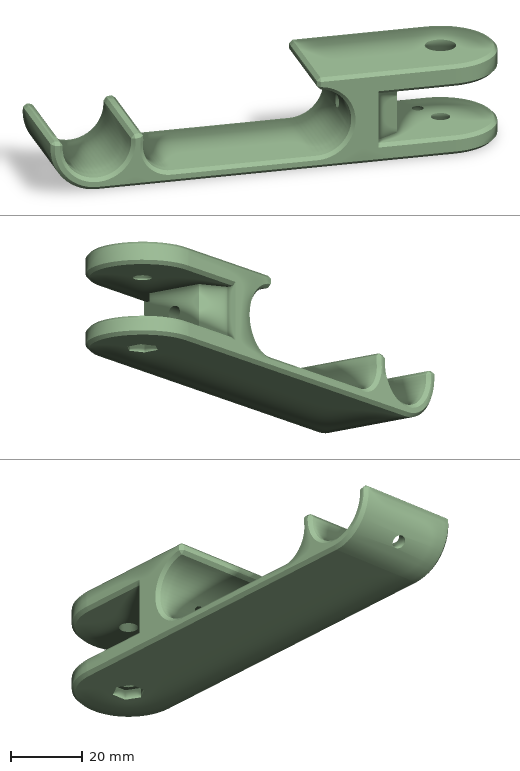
import cadquery as cq
import math

WIDTH = 32.0
HALF_WIDTH = WIDTH / 2
HEIGHT = 27.0
CHAMFER = 1.0

LOWER_ARM = 5.5
SLOT_HEIGHT = 15.0
SLOT_TOP = LOWER_ARM + SLOT_HEIGHT
SLOT_END_Y = -22.3
STOP_FRONT_Y = -15.0
STOP_FLANK_ANGLE = 32.0
STOP_FRONT_HALF_WIDTH = 8.6

BOLT_D = 5.4
BOLT_HEAD_D = 8.8
BOLT_HEAD_DEPTH = 4.0
NUT_ACROSS_FLATS = 8.0
NUT_DEPTH = 3.0

DIMPLE_BALL_D = 4.0
DIMPLE_BALL_DEPTH = 1.1
DIMPLE_PIVOT_RADIUS = 9.0
DIMPLE_ANGLE = 210.0

WALL = 3.5
CRADLE_R = 10.0
HOOK_R = CRADLE_R + WALL
CRADLE_Z = WALL + CRADLE_R
REAR_CRADLE_Y = -40.0
HOOK_Y = -104.0
LIP_ANGLE = 10.0
POST_FILLET_R = 8.0
SMALL_HOLE_D = 4.0
HOOK_HOLE_ANGLE = 45.0

CUT_MARGIN = 1.0
TOLERANCE = 0.01


def hook_point(radius, degrees):
    """YZ point about the hook axis; 0 degrees is +Y and 90 degrees is +Z."""
    angle = math.radians(degrees)
    return (HOOK_Y + radius * math.cos(angle), CRADLE_Z + radius * math.sin(angle))


def side_profile():
    """Outline in the YZ plane, with the fork slot square-ended."""
    fillet_z = WALL + POST_FILLET_R
    centre_distance = HOOK_R + POST_FILLET_R
    drop = CRADLE_Z - fillet_z
    fillet_y = HOOK_Y + math.sqrt(centre_distance**2 - drop**2)
    tangent_angle = -math.degrees(math.asin(drop / centre_distance))
    diagonal = POST_FILLET_R * math.sqrt(0.5)
    return (
        cq.Workplane("YZ")
        .moveTo(HALF_WIDTH, 0)
        .lineTo(HOOK_Y, 0)
        .threePointArc(hook_point(HOOK_R, 225), hook_point(HOOK_R, 180 - LIP_ANGLE))
        .lineTo(*hook_point(CRADLE_R, 180 - LIP_ANGLE))
        .threePointArc(hook_point(CRADLE_R, 270), hook_point(CRADLE_R, LIP_ANGLE))
        .lineTo(*hook_point(HOOK_R, LIP_ANGLE))
        .threePointArc(hook_point(HOOK_R, 0), hook_point(HOOK_R, tangent_angle))
        .threePointArc(
            (fillet_y - diagonal, fillet_z - diagonal),
            (fillet_y, WALL),
        )
        .lineTo(REAR_CRADLE_Y, WALL)
        .threePointArc(
            (REAR_CRADLE_Y + CRADLE_R, CRADLE_Z),
            (REAR_CRADLE_Y, CRADLE_Z + CRADLE_R),
        )
        .lineTo(REAR_CRADLE_Y, HEIGHT)
        .lineTo(HALF_WIDTH, HEIGHT)
        .lineTo(HALF_WIDTH, SLOT_TOP)
        .lineTo(SLOT_END_Y, SLOT_TOP)
        .lineTo(SLOT_END_Y, LOWER_ARM)
        .lineTo(HALF_WIDTH, LOWER_ARM)
        .close()
    )


def plan_outline():
    """Solid of the plan shape: straight sides and a half round about the pivot."""
    hook_tip_y = HOOK_Y - HOOK_R
    return (
        cq.Workplane("XY")
        .moveTo(-HALF_WIDTH, hook_tip_y)
        .lineTo(HALF_WIDTH, hook_tip_y)
        .lineTo(HALF_WIDTH, 0)
        .threePointArc((0, HALF_WIDTH), (-HALF_WIDTH, 0))
        .close()
        .extrude(HEIGHT)
    )


def gets_chamfer(edge):
    """True for the side rims, the arm tips, the hook lips and the nose over the rear cradle."""
    box = edge.BoundingBox()
    centre = edge.Center()
    if box.xlen > WIDTH - TOLERANCE:
        on_arm_tip = centre.y > 0
        on_lip = centre.y < HOOK_Y + HOOK_R and centre.z > CRADLE_Z
        on_nose = abs(centre.y - REAR_CRADLE_Y) < TOLERANCE and centre.z > CRADLE_Z
        return on_arm_tip or on_lip or on_nose
    upright = box.zlen > TOLERANCE and max(box.xlen, box.ylen) < TOLERANCE
    in_fork = centre.y > SLOT_END_Y - TOLERANCE
    return not (upright and in_fork)


def chamfered_body():
    body = side_profile().extrude(HALF_WIDTH, both=True).intersect(plan_outline())
    edges = [edge for edge in body.edges().vals() if gets_chamfer(edge)]
    return body.newObject(edges).chamfer(CHAMFER)


def rotation_stop():
    """Tapered block at the slot end that limits the swing of the mating part."""
    length = STOP_FRONT_Y - SLOT_END_Y
    base_half_width = STOP_FRONT_HALF_WIDTH + length * math.tan(math.radians(STOP_FLANK_ANGLE))
    root_y = SLOT_END_Y - CUT_MARGIN
    return (
        cq.Workplane("XY", origin=(0, 0, LOWER_ARM))
        .polyline([
            (-base_half_width, root_y),
            (-base_half_width, SLOT_END_Y),
            (-STOP_FRONT_HALF_WIDTH, STOP_FRONT_Y),
            (STOP_FRONT_HALF_WIDTH, STOP_FRONT_Y),
            (base_half_width, SLOT_END_Y),
            (base_half_width, root_y),
        ])
        .close()
        .extrude(SLOT_HEIGHT)
    )


def pivot_cutter():
    """Bolt hole with a round head recess on top and a hexagonal nut pocket below."""
    bolt = cq.Workplane("XY").circle(BOLT_D / 2).extrude(HEIGHT)
    head = (
        cq.Workplane("XY", origin=(0, 0, HEIGHT - BOLT_HEAD_DEPTH))
        .circle(BOLT_HEAD_D / 2)
        .extrude(BOLT_HEAD_DEPTH)
    )
    across_corners = NUT_ACROSS_FLATS * 2 / math.sqrt(3)
    nut = cq.Workplane("XY").polygon(6, across_corners).extrude(NUT_DEPTH)
    return bolt.union(head).union(nut)


def dimple_cutter():
    """Ball whose centre lies just below the slot floor."""
    angle = math.radians(DIMPLE_ANGLE)
    centre = (
        DIMPLE_PIVOT_RADIUS * math.cos(angle),
        DIMPLE_PIVOT_RADIUS * math.sin(angle),
        LOWER_ARM - DIMPLE_BALL_DEPTH,
    )
    return cq.Workplane("XY").sphere(DIMPLE_BALL_D / 2).translate(centre)


def small_hole(start, direction, length):
    return cq.Workplane(cq.Solid.makeCylinder(
        SMALL_HOLE_D / 2, length, cq.Vector(*start), cq.Vector(*direction)
    ))


def web_hole():
    """Hole along Y from the rear cradle through the web and the stop."""
    length = STOP_FRONT_Y - REAR_CRADLE_Y + CUT_MARGIN
    return small_hole((0, REAR_CRADLE_Y, CRADLE_Z), (0, 1, 0), length)


def hook_hole():
    """Radial hole sloping down and outward through the hook wall."""
    angle = math.radians(HOOK_HOLE_ANGLE)
    direction = (0, -math.cos(angle), -math.sin(angle))
    return small_hole((0, HOOK_Y, CRADLE_Z), direction, HOOK_R + CUT_MARGIN)


result = chamfered_body().union(rotation_stop())
for cutter in (pivot_cutter(), dimple_cutter(), web_hole(), hook_hole()):
    result = result.cut(cutter)